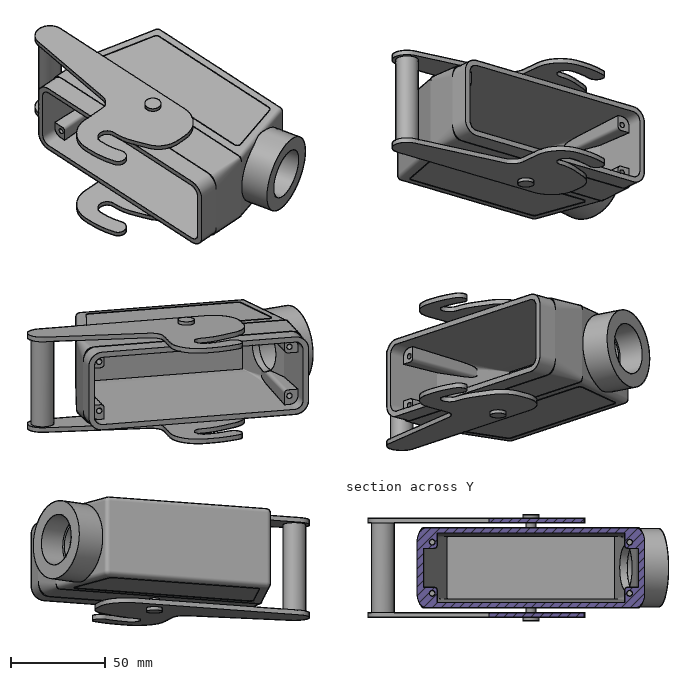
import cadquery as cq
import math


MOUTH_LENGTH = 120.3
HOOD_HEIGHT = 42.7
RIM_DEPTH = 11.0
RIM_CORNER = 7.5
SHOULDER_Y = 32.0
SHOULDER_LENGTH = 116.1
SHOULDER_HEIGHT = 42.2
SHOULDER_LOWER_CORNER_X = 4.9
SHOULDER_UPPER_CORNER_X = 1.3
TOP_Y = 76.2
END_SLOPE = math.radians(15)
EDGE_FILLET = 2.5
TOP_LENGTH = SHOULDER_LENGTH - 2 * (TOP_Y - SHOULDER_Y) * math.tan(END_SLOPE)

LABEL_DEPTH = 0.3
LABEL_BOTTOM_Y = 36.8
LABEL_TOP_Y = 70.8
LABEL_BOTTOM_LENGTH = 102.2
LABEL_CORNER = 2.0
LABEL_TOP_LENGTH = LABEL_BOTTOM_LENGTH - 2 * (LABEL_TOP_Y - LABEL_BOTTOM_Y) * math.tan(END_SLOPE)

CAVITY_MOUTH_LENGTH = 114.0
CAVITY_MOUTH_HEIGHT = 37.0
CAVITY_SHOULDER_LENGTH = 111.4
CAVITY_FLOOR_LENGTH = 88.2
CAVITY_FLOOR_HEIGHT = 33.0
CAVITY_TAPER_END_Y = 66.6
CAVITY_FLOOR_Y = 73.0
CAVITY_CORNER = 4.6
CAVITY_FLOOR_CORNER = 0.3

BOSS_Y = 8.7
BOSS_INNER_X = 49.3
BOSS_INNER_Z = 10.2
BOSS_CORNER = 1.9
SCREW_X = 52.0
SCREW_Z = 13.5
SCREW_DIAMETER = 2.9
SCREW_DEPTH = 12.7

ENTRY_FACE_X = 67.3
ENTRY_FACE_Y = 56.5
ENTRY_DIAMETER = 41.5
ENTRY_ROOT_LENGTH = 18.2
ENTRY_BORE_DIAMETER = 26.8
ENTRY_BORE_DEPTH = 13.8
ENTRY_WALL_DIAMETER = 24.0
ENTRY_WALL_DEPTH = 31.7

PIVOT_Y = 24.7
PLATE_INNER_Z = 23.6
PLATE_THICKNESS = 2.5
PIN_DIAMETER = 5.4
PIN_HEAD_DIAMETER = 8.5
PIN_OVERALL_HEIGHT = 56.0
PIN_ROOT_Z = 19.8
HANDLE_X = -78.0
HANDLE_Y = 27.0
HANDLE_RADIUS = 8.0
HANDLE_SLOPE = math.radians(7.8)
ROLLER_DIAMETER = 12.0
LEG_X = -18.0
LEG_FILLET = 7.1
HOOK_OUTER = 48.2
HOOK_INNER = 39.3
NECK_RADIUS = 29.5
HEEL_RADIUS = 15.2
HOOK_END_ANGLE = math.radians(19.5)
LOBE_X = 28.5
LOBE_LOWER_RADIUS = 14.3
LOBE_LOWER_Y = 14.3
LOBE_UPPER_RADIUS = 15.0


def rounded_section(length, height, corner, y):
    """Rounded rectangle in a plane across Y, for lofting."""
    return elliptic_section(length, height, corner, corner, y)


def elliptic_section(length, height, corner_x, corner_z, y):
    """Rectangle in a plane across Y whose corners are quarter ellipses."""
    flat_x = length / 2 - corner_x
    flat_z = height / 2 - corner_z
    outline = cq.Workplane("XZ", origin=(0, y, 0)).moveTo(length / 2, -flat_z)
    for quarter, (side_x, side_z) in enumerate(((1, 1), (-1, 1), (-1, -1), (1, -1))):
        if side_x == side_z:
            outline = outline.lineTo(side_x * length / 2, side_z * flat_z)
        else:
            outline = outline.lineTo(side_x * flat_x, side_z * height / 2)
        outline = outline.ellipseArc(corner_x, corner_z, 90 * quarter, 90 * (quarter + 1))
    return outline.close().val()


def loft_between(*sections):
    """Solid with straight walls from each section to the next."""
    return cq.Workplane(cq.Solid.makeLoft(list(sections), True))


def between(start, end, share):
    """Value a given share of the way from start to end."""
    return start + (end - start) * share


def trapezoid(bottom_length, top_length, bottom_y, top_y, z):
    """Symmetric trapezoid outline in the plane at height z."""
    return (
        cq.Workplane("XY", origin=(0, 0, z))
        .moveTo(-bottom_length / 2, bottom_y)
        .lineTo(bottom_length / 2, bottom_y)
        .lineTo(top_length / 2, top_y)
        .lineTo(-top_length / 2, top_y)
        .close()
    )


def make_hood_outside():
    rim = loft_between(
        rounded_section(MOUTH_LENGTH, HOOD_HEIGHT, RIM_CORNER, 0),
        rounded_section(MOUTH_LENGTH, HOOD_HEIGHT, RIM_CORNER, RIM_DEPTH),
    )
    shoulder = loft_between(
        elliptic_section(MOUTH_LENGTH, SHOULDER_HEIGHT, SHOULDER_LOWER_CORNER_X, RIM_CORNER, RIM_DEPTH),
        elliptic_section(SHOULDER_LENGTH, SHOULDER_HEIGHT, SHOULDER_UPPER_CORNER_X, EDGE_FILLET, SHOULDER_Y),
    )
    crown = (
        trapezoid(SHOULDER_LENGTH, TOP_LENGTH, SHOULDER_Y, TOP_Y, -HOOD_HEIGHT / 2)
        .extrude(HOOD_HEIGHT)
        .edges("not <Y")
        .fillet(EDGE_FILLET)
    )
    return rim.union(shoulder).union(crown)


def make_label_recesses():
    recess = (
        trapezoid(
            LABEL_BOTTOM_LENGTH, LABEL_TOP_LENGTH, LABEL_BOTTOM_Y, LABEL_TOP_Y, HOOD_HEIGHT / 2 - LABEL_DEPTH
        )
        .extrude(2 * LABEL_DEPTH)
        .edges("|Z")
        .fillet(LABEL_CORNER)
    )
    return recess.union(recess.mirror("XY"))


def make_cavity():
    """Tapered pocket, less the four corner bosses that stay standing in it."""
    shoulder_height = between(CAVITY_MOUTH_HEIGHT, CAVITY_FLOOR_HEIGHT, SHOULDER_Y / CAVITY_TAPER_END_Y)
    end_wall_share = (CAVITY_TAPER_END_Y - SHOULDER_Y) / (CAVITY_FLOOR_Y - SHOULDER_Y)
    taper_end_length = between(CAVITY_SHOULDER_LENGTH, CAVITY_FLOOR_LENGTH, end_wall_share)
    sections = [
        rounded_section(CAVITY_MOUTH_LENGTH, CAVITY_MOUTH_HEIGHT, CAVITY_CORNER, 0),
        rounded_section(CAVITY_SHOULDER_LENGTH, shoulder_height, CAVITY_CORNER, SHOULDER_Y),
        rounded_section(taper_end_length, CAVITY_FLOOR_HEIGHT, CAVITY_FLOOR_CORNER, CAVITY_TAPER_END_Y),
        rounded_section(CAVITY_FLOOR_LENGTH, CAVITY_FLOOR_HEIGHT, CAVITY_FLOOR_CORNER, CAVITY_FLOOR_Y),
    ]
    cavity = loft_between(*sections)
    boss_length = MOUTH_LENGTH / 2 - BOSS_INNER_X
    boss_height = HOOD_HEIGHT / 2 - BOSS_INNER_Z
    for side_x in (-1, 1):
        for side_z in (-1, 1):
            boss = (
                cq.Workplane("XZ", origin=(0, BOSS_Y, 0))
                .center(side_x * (BOSS_INNER_X + boss_length / 2), side_z * (BOSS_INNER_Z + boss_height / 2))
                .rect(boss_length, boss_height)
                .extrude(BOSS_Y - CAVITY_FLOOR_Y)
                .edges("|Y")
                .fillet(BOSS_CORNER)
            )
            cavity = cavity.cut(boss)
    return cavity


def make_screw_holes():
    return (
        cq.Workplane("XZ", origin=(0, BOSS_Y, 0))
        .rect(2 * SCREW_X, 2 * SCREW_Z, forConstruction=True)
        .vertices()
        .circle(SCREW_DIAMETER / 2)
        .extrude(-SCREW_DEPTH)
    )


def entry_cylinder(diameter, depth):
    """Cylinder reaching inward from the outer face of the cable entry."""
    face = cq.Plane(
        origin=(ENTRY_FACE_X, ENTRY_FACE_Y, 0),
        xDir=(0, 0, 1),
        normal=(math.cos(END_SLOPE), math.sin(END_SLOPE), 0),
    )
    return cq.Workplane(face).circle(diameter / 2).extrude(-depth)


def around(center, radius, angle):
    """Point on a circle; the angle is measured from straight down (-Y) toward +X."""
    return (center[0] + radius * math.sin(angle), center[1] - radius * math.cos(angle))


def make_plate():
    """Upper lever plate: handle, pivot lobe and a hook whose edges are centred on the pivot."""
    pivot = (0, PIVOT_Y)
    handle = (HANDLE_X, HANDLE_Y)
    handle_top = HANDLE_Y + HANDLE_RADIUS
    handle_bottom = around(handle, HANDLE_RADIUS, -HANDLE_SLOPE)
    armpit_y = handle_bottom[1] - (LEG_X - handle_bottom[0]) * math.tan(HANDLE_SLOPE)

    fillet_reach = LEG_FILLET * math.tan((math.pi / 2 - HANDLE_SLOPE) / 2)
    fillet_center = (LEG_X - LEG_FILLET, armpit_y - fillet_reach)

    hook_bottom = PIVOT_Y - HOOK_OUTER
    heel = (LEG_X + HEEL_RADIUS, hook_bottom + HEEL_RADIUS)

    tip = around(pivot, (HOOK_OUTER + HOOK_INNER) / 2, HOOK_END_ANGLE)
    tip_radius = (HOOK_OUTER - HOOK_INNER) / 2
    slot_center = (0, PIVOT_Y - (HOOK_INNER + NECK_RADIUS) / 2)
    slot_radius = (HOOK_INNER - NECK_RADIUS) / 2

    lobe_lower = (LOBE_X - LOBE_LOWER_RADIUS, LOBE_LOWER_Y)
    lobe_upper = (LOBE_X - LOBE_UPPER_RADIUS, handle_top - LOBE_UPPER_RADIUS)
    offset_x = lobe_lower[0]
    offset_y = PIVOT_Y - LOBE_LOWER_Y
    tangent_angle = math.asin((NECK_RADIUS - LOBE_LOWER_RADIUS) / math.hypot(offset_x, offset_y))
    neck_angle = tangent_angle - math.atan2(offset_y, offset_x)

    return (
        cq.Workplane("XY", origin=(0, 0, PLATE_INNER_Z))
        .moveTo(HANDLE_X, handle_top)
        .threePointArc((HANDLE_X - HANDLE_RADIUS, HANDLE_Y), handle_bottom)
        .lineTo(*around(fillet_center, LEG_FILLET, math.pi - HANDLE_SLOPE))
        .threePointArc(
            around(fillet_center, LEG_FILLET, (1.5 * math.pi - HANDLE_SLOPE) / 2),
            (LEG_X, fillet_center[1]),
        )
        .lineTo(LEG_X, heel[1])
        .threePointArc(around(heel, HEEL_RADIUS, -math.pi / 4), (heel[0], hook_bottom))
        .lineTo(0, hook_bottom)
        .threePointArc(
            around(pivot, HOOK_OUTER, HOOK_END_ANGLE / 2),
            around(pivot, HOOK_OUTER, HOOK_END_ANGLE),
        )
        .threePointArc(
            around(tip, tip_radius, HOOK_END_ANGLE + math.pi / 2),
            around(pivot, HOOK_INNER, HOOK_END_ANGLE),
        )
        .threePointArc(around(pivot, HOOK_INNER, HOOK_END_ANGLE / 2), around(pivot, HOOK_INNER, 0))
        .threePointArc(
            around(slot_center, slot_radius, -math.pi / 2),
            around(pivot, NECK_RADIUS, 0),
        )
        .threePointArc(
            around(pivot, NECK_RADIUS, neck_angle / 2),
            around(pivot, NECK_RADIUS, neck_angle),
        )
        .lineTo(*around(lobe_lower, LOBE_LOWER_RADIUS, neck_angle))
        .threePointArc(
            around(lobe_lower, LOBE_LOWER_RADIUS, (neck_angle + math.pi / 2) / 2),
            (LOBE_X, LOBE_LOWER_Y),
        )
        .lineTo(LOBE_X, lobe_upper[1])
        .threePointArc(around(lobe_upper, LOBE_UPPER_RADIUS, 0.75 * math.pi), (lobe_upper[0], handle_top))
        .close()
        .extrude(PLATE_THICKNESS)
    )


def cylinder_along_z(x, y, diameter, start_z, end_z):
    return cq.Workplane("XY", origin=(x, y, start_z)).circle(diameter / 2).extrude(end_z - start_z)


def make_lever():
    plate_outer_z = PLATE_INNER_Z + PLATE_THICKNESS
    half = (
        make_plate()
        .union(cylinder_along_z(0, PIVOT_Y, PIN_DIAMETER, PIN_ROOT_Z, plate_outer_z))
        .union(cylinder_along_z(0, PIVOT_Y, PIN_HEAD_DIAMETER, plate_outer_z, PIN_OVERALL_HEIGHT / 2))
    )
    roller = cylinder_along_z(HANDLE_X, HANDLE_Y, ROLLER_DIAMETER, -PLATE_INNER_Z, PLATE_INNER_Z)
    return half.union(half.mirror("XY")).union(roller)


hood = (
    make_hood_outside()
    .cut(make_label_recesses())
    .union(entry_cylinder(ENTRY_DIAMETER, ENTRY_ROOT_LENGTH))
    .cut(make_cavity())
    .cut(make_screw_holes())
    .cut(entry_cylinder(ENTRY_BORE_DIAMETER, ENTRY_BORE_DEPTH))
    .cut(entry_cylinder(ENTRY_WALL_DIAMETER, ENTRY_WALL_DEPTH))
)
result = hood.union(make_lever())